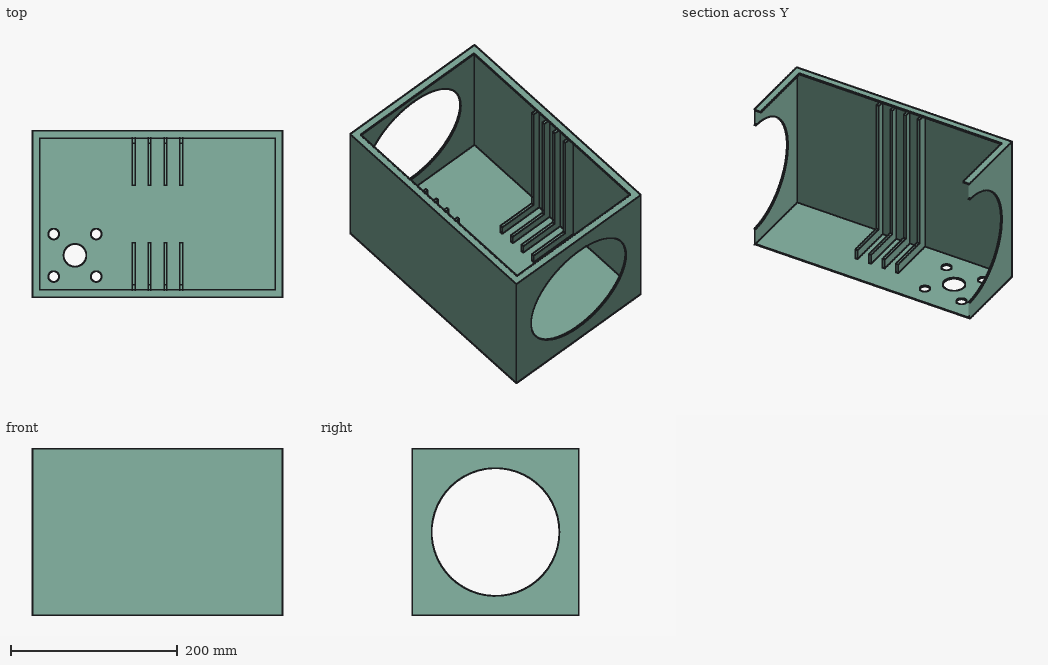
import cadquery as cq

length = 300.0
width = 200.0
height = 200.0
wall = 2.0
inner_length = length - 2 * wall
inner_width = width - 2 * wall

lip_reach = 9.0
lip_thickness = 2.0

end_opening_diameter = 153.0

pattern_x = -99.0
pattern_y = -49.5
pattern_pitch = 51.0
center_hole_diameter = 27.0
corner_hole_diameter = 12.5

rib_count = 4
rib_pitch = 19.0
rib_thickness = 3.3
rib_upright_reach = 15.0
rib_foot_reach = 65.5
rib_foot_top = 15.0
rib_gap_below_lip = 1.0
rib_top = height - lip_thickness - rib_gap_below_lip

pad_thickness = 4.0
pad_length = (rib_count - 1) * rib_pitch + rib_thickness


def make_shell():
    outer = cq.Workplane("XY").box(length, width, height, centered=(True, True, False))
    cavity = (
        cq.Workplane("XY")
        .workplane(offset=wall)
        .box(inner_length, inner_width, height, centered=(True, True, False))
    )
    return outer.cut(cavity)


def make_lip():
    return (
        cq.Workplane("XY")
        .workplane(offset=height - lip_thickness)
        .rect(inner_length, inner_width)
        .rect(length - 2 * lip_reach, width - 2 * lip_reach)
        .extrude(lip_thickness)
    )


def make_rib(x_center):
    """L-shaped rib standing on the floor against the +Y wall."""
    wall_face = inner_width / 2
    upright_face = width / 2 - rib_upright_reach
    foot_end = width / 2 - rib_foot_reach
    return (
        cq.Workplane("YZ")
        .workplane(offset=x_center - rib_thickness / 2)
        .moveTo(wall_face, wall)
        .lineTo(wall_face, rib_top)
        .lineTo(upright_face, rib_top)
        .lineTo(upright_face, rib_foot_top)
        .lineTo(foot_end, rib_foot_top)
        .lineTo(foot_end, wall)
        .close()
        .extrude(rib_thickness)
    )


def make_rib_pad():
    """Pad on the +Y wall, from the floor up to the tops of the ribs."""
    return (
        cq.Workplane("XY")
        .workplane(offset=wall)
        .center(0, (inner_width - pad_thickness) / 2)
        .rect(pad_length, pad_thickness)
        .extrude(rib_top - wall)
    )


def make_end_openings():
    return (
        cq.Workplane("YZ")
        .center(0, height / 2)
        .circle(end_opening_diameter / 2)
        .extrude(length, both=True)
    )


def make_floor_holes():
    pattern = cq.Workplane("XY").center(pattern_x, pattern_y)
    center_hole = pattern.circle(center_hole_diameter / 2).extrude(wall)
    corner_holes = (
        pattern.rect(pattern_pitch, pattern_pitch, forConstruction=True)
        .vertices()
        .circle(corner_hole_diameter / 2)
        .extrude(wall)
    )
    return center_hole.union(corner_holes)


result = make_shell().union(make_lip())
for index in range(rib_count):
    rib = make_rib((index - (rib_count - 1) / 2) * rib_pitch)
    result = result.union(rib).union(rib.mirror("XZ"))
pad = make_rib_pad()
result = result.union(pad).union(pad.mirror("XZ"))
result = result.cut(make_end_openings()).cut(make_floor_holes())